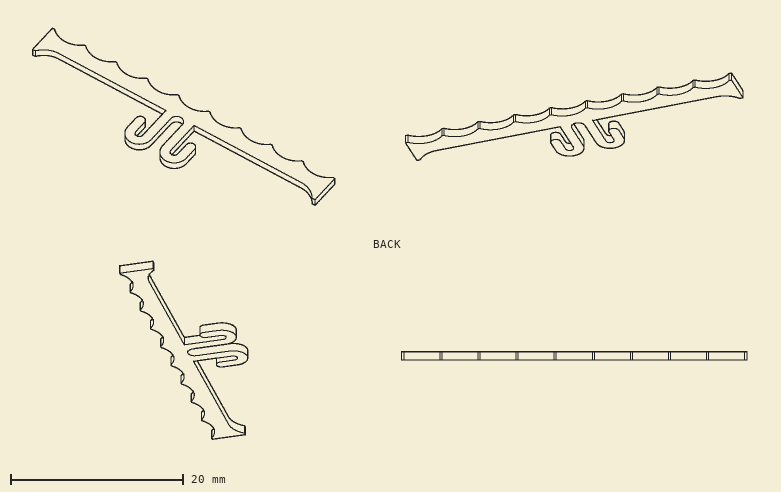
import cadquery as cq
import math

length = 40.0
thickness = 1.0
end_height = 4.0
beam_height = 2.75

notch_count = 9
notch_pitch = 4.4
notch_radius = 3.0
notch_depth = 0.85

flare_radius = 3.0
end_flat = 0.4

hook_width = 1.2
hook_gap = 0.95
stem_spacing = 1.6
hook_bottom = -9.1
hook_tip_height = 4.0
arch_top = -2.65

half_length = length / 2
flare_drop = end_height - beam_height
flare_run = math.sqrt(flare_radius**2 - (flare_radius - flare_drop)**2)
flare_start = half_length - end_flat - flare_run
arch_radius = stem_spacing / 2
arch_y = arch_top - arch_radius
inner_bend_radius = hook_gap / 2
outer_bend_radius = inner_bend_radius + hook_width
bend_x = arch_radius + outer_bend_radius
bend_y = hook_bottom + outer_bend_radius
tip_radius = hook_width / 2
tip_x = bend_x + inner_bend_radius + tip_radius
tip_y = hook_bottom + hook_tip_height - tip_radius


def rectangle(x_min, x_max, y_min, y_max):
    """Plate covering the given rectangle."""
    return (
        cq.Workplane("XY")
        .center((x_min + x_max) / 2, (y_min + y_max) / 2)
        .rect(x_max - x_min, y_max - y_min)
        .extrude(thickness)
    )


def disc(x, y, radius):
    """Round plate centred on (x, y)."""
    return cq.Workplane("XY").center(x, y).circle(radius).extrude(thickness)


def make_bar():
    """Bar with flared ends and a notched top edge."""
    bar = rectangle(-half_length, half_length, -end_height, 0)
    bar = bar.cut(rectangle(-flare_start, flare_start, -end_height, -beam_height))
    for side in (-1, 1):
        bar = bar.cut(disc(side * flare_start, -beam_height - flare_radius, flare_radius))
    for index in range(notch_count):
        notch_x = (index - (notch_count - 1) / 2) * notch_pitch
        bar = bar.cut(disc(notch_x, notch_radius - notch_depth, notch_radius))
    return bar


def make_hook():
    """Hook on the +X side: straight stem, half-ring bend and round-ended tip."""
    stem = rectangle(arch_radius, arch_radius + hook_width, bend_y, -beam_height)
    bend = disc(bend_x, bend_y, outer_bend_radius).cut(disc(bend_x, bend_y, inner_bend_radius))
    bend = bend.cut(rectangle(arch_radius, bend_x + outer_bend_radius, bend_y, bend_y + outer_bend_radius))
    tip = rectangle(tip_x - tip_radius, tip_x + tip_radius, bend_y, tip_y)
    return stem.union(bend).union(tip).union(disc(tip_x, tip_y, tip_radius))


def make_arch_web():
    """Block joining the tops of the stems, before the arch is cut."""
    return rectangle(-arch_radius, arch_radius, arch_y, -beam_height)


hook = make_hook()
result = make_bar().union(hook).union(hook.mirror("YZ")).union(make_arch_web())
result = result.cut(disc(0, arch_y, arch_radius)).clean()